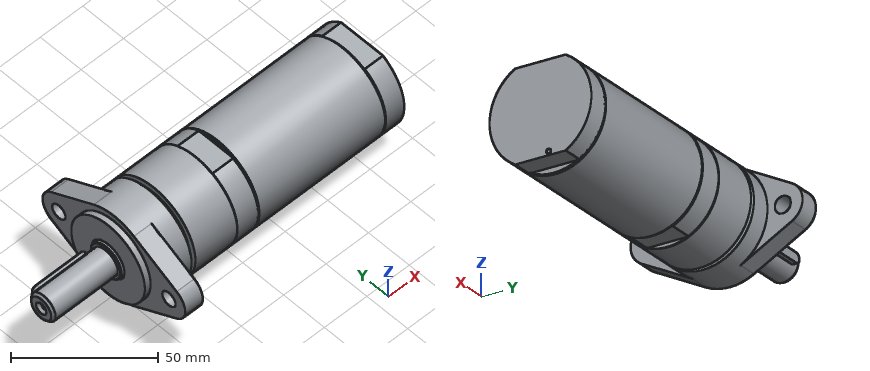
import cadquery as cq
import math

collar_start = 30.3
pilot_start = 31.5
flange_start = 34.2
flange_end = 42.5
groove_start = 50.9
groove_end = 52.7
wrench_start = 72.5
wrench_end = 82.4
rear_cap_start = 142.5
rear_face = 151.2
overall_length = 151.5

body_diameter = 41.5
pilot_diameter = 36.0
groove_diameter = 36.0
collar_diameter = 15.0
collar_chamfer = 0.3
collar_recess_diameter = 16.0
collar_recess_depth = 0.9
shaft_diameter = 12.0
shaft_chamfer = 1.0
front_body_chamfer = 0.2
rear_body_chamfer = 0.5

wrench_across_flats = 37.9
rear_across_flats = 36.0

flange_hole_offset = 27.0
flange_hole_diameter = 6.5
flange_lobe_radius = 8.0

key_start = 2.9
key_length = 25.0
key_width = 4.0
key_bottom = 3.5
key_top = 7.5

tip_hole_diameter = 3.2
tip_hole_depth = 10.0
tip_countersink_diameter = 5.0
tip_countersink_angle = 60
drill_point_angle = 118

stud_y = 3.5
stud_z = -16.7
stud_diameter = 1.8


def cylinder(start, end, diameter):
    """Cylinder about the X axis between two stations."""
    return cq.Workplane("YZ", origin=(start, 0, 0)).circle(diameter / 2).extrude(end - start)


def flatted_cylinder(start, end, across_flats):
    """Length of the main body with flats facing +Z and -Z."""
    length = end - start
    slab = cq.Workplane("YZ", origin=(start, 0, 0)).rect(body_diameter, across_flats).extrude(length)
    return cylinder(start, end, body_diameter).intersect(slab)


def make_body():
    """Shaft and stepped housing, front to rear."""
    shaft = cylinder(0, pilot_start, shaft_diameter).faces("<X").chamfer(shaft_chamfer)
    sections = [
        cylinder(collar_start, pilot_start, collar_diameter).faces("<X").chamfer(collar_chamfer),
        cylinder(pilot_start, flange_start, pilot_diameter),
        cylinder(flange_start, groove_start, body_diameter),
        cylinder(groove_start, groove_end, groove_diameter),
        cylinder(groove_end, wrench_start, body_diameter).faces(">X").chamfer(front_body_chamfer),
        flatted_cylinder(wrench_start, wrench_end, wrench_across_flats),
        cylinder(wrench_end, rear_cap_start, body_diameter).faces("<X or >X").chamfer(rear_body_chamfer),
        flatted_cylinder(rear_cap_start, rear_face, rear_across_flats),
    ]
    body = shaft
    for section in sections:
        body = body.union(section)
    return body


def make_collar_recess():
    """Narrow ring cut into the pilot face around the collar."""
    recess_end = pilot_start + collar_recess_depth
    ring = cylinder(pilot_start, recess_end, collar_recess_diameter)
    return ring.cut(cylinder(pilot_start, recess_end, collar_diameter))


def make_flange():
    """Two-hole diamond flange: straight edges tangent to the body and to both lobes."""
    body_radius = body_diameter / 2
    edge_slope = math.asin((body_radius - flange_lobe_radius) / flange_hole_offset)
    tangent_y = math.sin(edge_slope)
    tangent_z = math.cos(edge_slope)
    body_y = body_radius * tangent_y
    body_z = body_radius * tangent_z
    lobe_y = flange_hole_offset + flange_lobe_radius * tangent_y
    lobe_z = flange_lobe_radius * tangent_z
    lobe_tip = flange_hole_offset + flange_lobe_radius
    outline = (
        cq.Workplane("YZ", origin=(flange_start, 0, 0))
        .moveTo(-body_y, body_z)
        .threePointArc((0, body_radius), (body_y, body_z))
        .lineTo(lobe_y, lobe_z)
        .threePointArc((lobe_tip, 0), (lobe_y, -lobe_z))
        .lineTo(body_y, -body_z)
        .threePointArc((0, -body_radius), (-body_y, -body_z))
        .lineTo(-lobe_y, -lobe_z)
        .threePointArc((-lobe_tip, 0), (-lobe_y, lobe_z))
        .close()
    )
    thickness = flange_end - flange_start
    holes = (
        cq.Workplane("YZ", origin=(flange_start, 0, 0))
        .pushPoints([(-flange_hole_offset, 0), (flange_hole_offset, 0)])
        .circle(flange_hole_diameter / 2)
        .extrude(thickness)
    )
    return outline.extrude(thickness).cut(holes)


def make_key():
    """Round-ended parallel key."""
    return (
        cq.Workplane("XZ", origin=(key_start + key_length / 2, key_bottom, 0))
        .slot2D(key_length, key_width)
        .extrude(-(key_top - key_bottom))
    )


def make_tip_hole():
    """Countersunk blind hole with a drill point, as a revolved cutter."""
    hole_radius = tip_hole_diameter / 2
    sink_radius = tip_countersink_diameter / 2
    sink_depth = (sink_radius - hole_radius) / math.tan(math.radians(tip_countersink_angle / 2))
    point_depth = hole_radius / math.tan(math.radians(drill_point_angle / 2))
    half_profile = [
        (0, 0),
        (0, sink_radius),
        (sink_depth, hole_radius),
        (tip_hole_depth, hole_radius),
        (tip_hole_depth + point_depth, 0),
    ]
    return cq.Workplane("XY").polyline(half_profile).close().revolve(360, (0, 0, 0), (1, 0, 0))


def make_stud():
    """Low round stud near the lower edge of the rear face."""
    return (
        cq.Workplane("YZ", origin=(rear_face, stud_y, stud_z))
        .circle(stud_diameter / 2)
        .extrude(overall_length - rear_face)
    )


result = (
    make_body()
    .union(make_flange())
    .union(make_key())
    .union(make_stud())
    .cut(make_collar_recess())
    .cut(make_tip_hole())
)